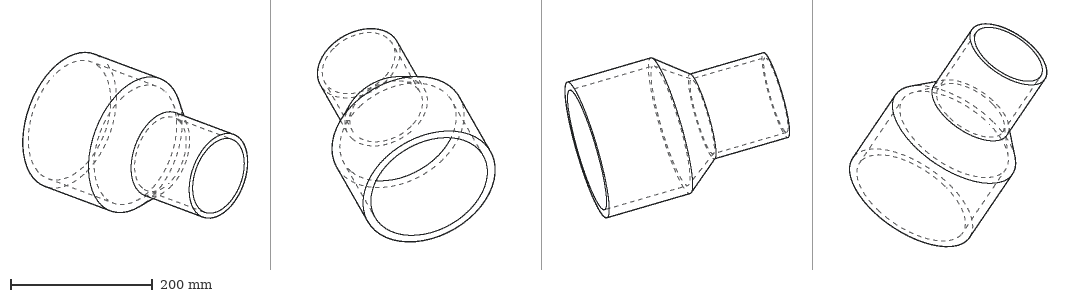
import cadquery as cq

total_length = 281.0
large_length = 124.2
cone_length = 47.2
large_outer_diameter = 200.0
large_bore_diameter = 176.2
small_outer_diameter = 125.0
small_bore_diameter = 110.2

cone_end = large_length + cone_length


def stepped_cone(large_diameter, small_diameter):
    """Solid with a large cylinder, a cone and a small cylinder along X."""
    large_radius = large_diameter / 2
    small_radius = small_diameter / 2
    return (
        cq.Workplane("XY")
        .moveTo(0, 0)
        .lineTo(0, large_radius)
        .lineTo(large_length, large_radius)
        .lineTo(cone_end, small_radius)
        .lineTo(total_length, small_radius)
        .lineTo(total_length, 0)
        .close()
        .revolve(360, (0, 0, 0), (1, 0, 0))
    )


outer_body = stepped_cone(large_outer_diameter, small_outer_diameter)
bore = stepped_cone(large_bore_diameter, small_bore_diameter)

result = outer_body.cut(bore)